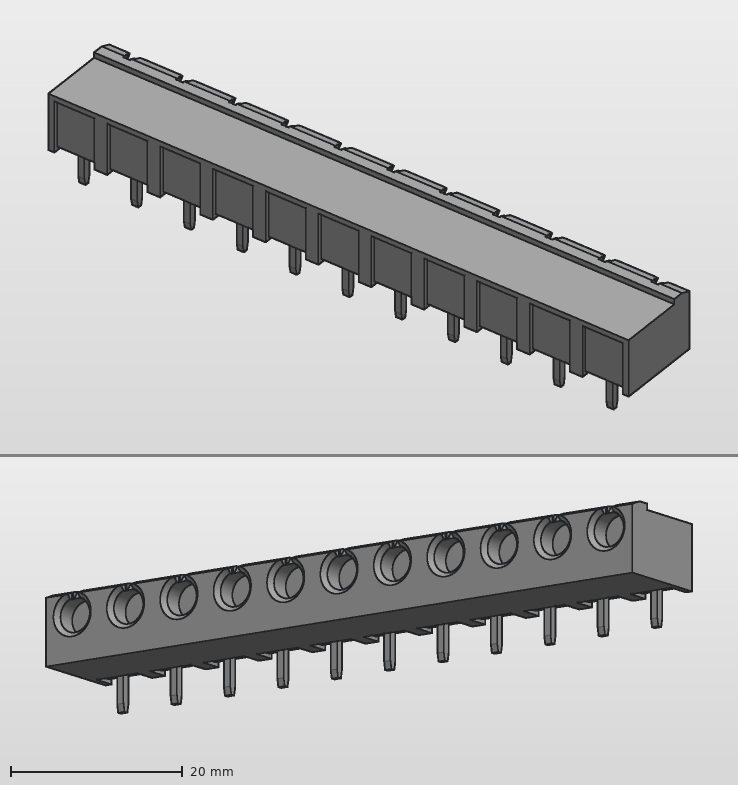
import cadquery as cq
import math

LENGTH = 83.8
DEPTH = 12.0
TOTAL_HEIGHT = 12.9
PIN_DROP = 4.1
BODY_HEIGHT = TOTAL_HEIGHT - PIN_DROP

RAIL_WIDTH = 3.0
RAIL_HEIGHT = 0.75
BEVEL_RUN = 1.5
BEVEL_DROP = 0.6

POLE_COUNT = 11
PITCH = 7.6
POLE_XS = [(i - (POLE_COUNT - 1) / 2) * PITCH for i in range(POLE_COUNT)]

POCKET_WIDTH = 5.8
POCKET_COVER = 1.5
POCKET_TOP = BODY_HEIGHT - POCKET_COVER
POCKET_DEPTH = 0.6

RELIEF_HEIGHT = 0.5
RELIEF_DEPTH = 3.0

PIN_WIDTH = 0.9
PIN_DEPTH = 1.0
PIN_INSET = 1.3
PIN_TIP_LENGTH = 1.0
PIN_TIP_DEPTH = 0.6

ENTRY_RADIUS = 2.1
ENTRY_COVER = 0.9
ENTRY_Z = BODY_HEIGHT - ENTRY_COVER - ENTRY_RADIUS
ENTRY_DEPTH = 2.9
FLARE = 0.6

SLOT_WIDTH = 1.4
SLOT_LENGTH = 0.9
RAMP_WIDTH = 1.0
RAMP_END = 1.8
RAMP_ANGLE = 54.0

FRONT_Y = -DEPTH / 2
BACK_Y = DEPTH / 2


def extrude_along_x(points, width, x_center):
    """Extrude a (y, z) outline by width, centred on x_center."""
    return (
        cq.Workplane("YZ", origin=(x_center, 0, 0))
        .polyline(points)
        .close()
        .extrude(width / 2, both=True)
    )


def make_housing():
    outline = [
        (FRONT_Y, 0),
        (BACK_Y, 0),
        (BACK_Y, BODY_HEIGHT - BEVEL_DROP),
        (BACK_Y - BEVEL_RUN, BODY_HEIGHT),
        (BACK_Y - RAIL_WIDTH, BODY_HEIGHT),
        (BACK_Y - RAIL_WIDTH, BODY_HEIGHT - RAIL_HEIGHT),
        (FRONT_Y, BODY_HEIGHT - RAIL_HEIGHT),
    ]
    return extrude_along_x(outline, LENGTH, 0)


def make_pocket(x):
    """Front pocket joined with the underside relief behind it."""
    outline = [
        (FRONT_Y, 0),
        (FRONT_Y + RELIEF_DEPTH, 0),
        (FRONT_Y + RELIEF_DEPTH, RELIEF_HEIGHT),
        (FRONT_Y + POCKET_DEPTH, RELIEF_HEIGHT),
        (FRONT_Y + POCKET_DEPTH, POCKET_TOP),
        (FRONT_Y, POCKET_TOP),
    ]
    return extrude_along_x(outline, POCKET_WIDTH, x)


def make_pin(x):
    """Rectangular pin with a wedge tip, reaching up to the relief ceiling."""
    near_y = FRONT_Y + PIN_INSET
    far_y = near_y + PIN_DEPTH
    tip_inset = (PIN_DEPTH - PIN_TIP_DEPTH) / 2
    shoulder_z = PIN_TIP_LENGTH - PIN_DROP
    outline = [
        (near_y, RELIEF_HEIGHT),
        (near_y, shoulder_z),
        (near_y + tip_inset, -PIN_DROP),
        (far_y - tip_inset, -PIN_DROP),
        (far_y, shoulder_z),
        (far_y, RELIEF_HEIGHT),
    ]
    return extrude_along_x(outline, PIN_WIDTH, x)


def make_wire_entry(x):
    """Blind round hole along Y with a 45 degree flare at the +Y face."""
    half_section = [
        (0, BACK_Y),
        (ENTRY_RADIUS + FLARE, BACK_Y),
        (ENTRY_RADIUS, BACK_Y - FLARE),
        (ENTRY_RADIUS, BACK_Y - ENTRY_DEPTH),
        (0, BACK_Y - ENTRY_DEPTH),
    ]
    return (
        cq.Workplane("XY")
        .polyline(half_section)
        .close()
        .revolve(360, (0, 0, 0), (0, 1, 0))
        .translate((x, 0, ENTRY_Z))
    )


def make_slot(x):
    """Upright slot down to the wire entry, ending in a narrower ramp that rises to the top."""
    slot_end_y = BACK_Y - SLOT_LENGTH
    upright = [
        (BACK_Y, ENTRY_Z),
        (BACK_Y, BODY_HEIGHT),
        (slot_end_y, BODY_HEIGHT),
        (slot_end_y, ENTRY_Z),
    ]
    ramp_top_y = BACK_Y - RAMP_END
    ramp_run = (BODY_HEIGHT - ENTRY_Z) / math.tan(math.radians(RAMP_ANGLE))
    ramp = [
        (ramp_top_y, BODY_HEIGHT),
        (ramp_top_y + ramp_run, ENTRY_Z),
        (ramp_top_y + ramp_run, BODY_HEIGHT),
    ]
    return extrude_along_x(upright, SLOT_WIDTH, x).union(extrude_along_x(ramp, RAMP_WIDTH, x))


result = make_housing()
for pole_x in POLE_XS:
    result = result.cut(make_pocket(pole_x))
    result = result.cut(make_wire_entry(pole_x)).cut(make_slot(pole_x))
for pole_x in POLE_XS:
    result = result.union(make_pin(pole_x))